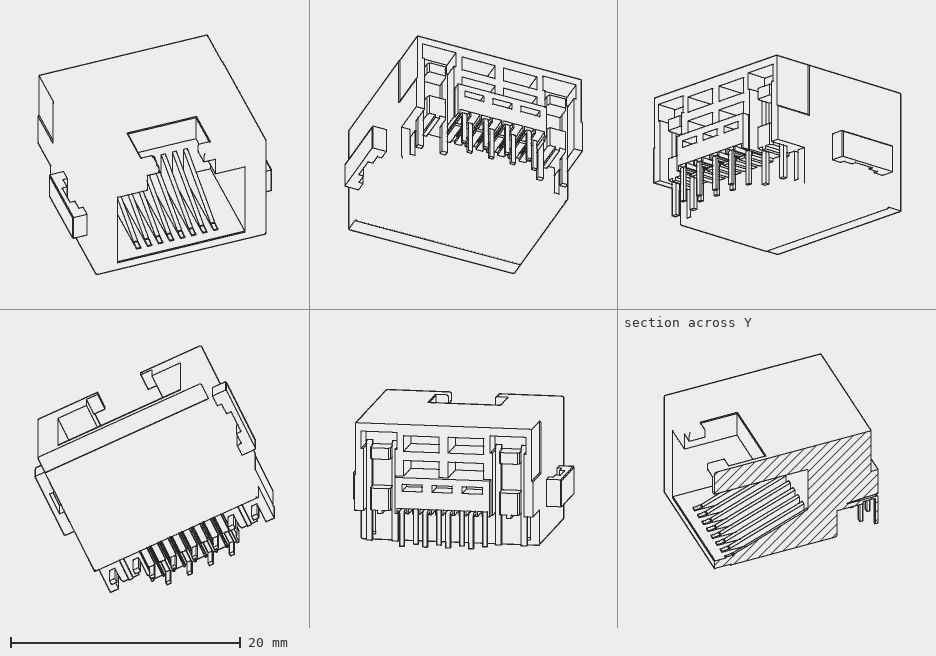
import cadquery as cq


BODY_LENGTH = 14.8
BODY_WIDTH = 15.8
BODY_HEIGHT = 11.0
EDGE_RADIUS = 0.2
STEP_LENGTH = 3.2
STEP_HEIGHT = 3.2
RELIEF_START = 13.25
RELIEF_DEPTH = 0.1
SIDE_RECESS_LENGTH = 3.8
SIDE_RECESS_BOTTOM = 6.3
SIDE_RECESS_DEPTH = 0.1
OVERCUT = 1.0

BRACKET_START = 6.5
BRACKET_LENGTH = 6.0
BRACKET_REACH = 1.325
BRACKET_BOTTOM = 2.85
BRACKET_HEIGHT = 2.4
BRACKET_CHAMFER = 0.08
BRACKET_WIDE_GAP = (4.0, 0.4)
BRACKET_NARROW_GAP = (2.0, 0.85)

CAVITY_BACK = 6.0
CAVITY_WIDTH = 11.8
CAVITY_FLOOR = 1.0
CAVITY_TOP = 8.5
FLOOR_CHAMFER = 0.07
LATCH_BACK = 9.85
LATCH_WIDTH = 6.3
LATCH_CHAMFER = 0.07
LATCH_NECK_BACK = 13.3
LATCH_NECK_WIDTH = 4.16
LATCH_LIP_THICKNESS = 0.8

CONTACT_COUNT = 8
CONTACT_PITCH = 1.02
CONTACT_WIDTH = 0.38
CONTACT_FRONT = 12.95
CONTACT_THICKNESS = 0.2
CONTACT_BACK_HEIGHT = 4.0
CONTACT_TIP_BACK = 13.05
CONTACT_TIP_FRONT = 13.75

WINDOW_INNER_Y = 0.4
WINDOW_OUTER_Y = 3.55
WINDOW_DEPTH = 3.5
UPPER_WINDOW_Z = (8.6, 10.0)
LOWER_WINDOW_TOP = 7.8

BOSS_WIDTH = 8.4
BOSS_REACH = 0.65
BOSS_TOP = 6.4
BOSS_SLOT_WIDTH = 1.78
BOSS_SLOT_PITCH = 2.66
BOSS_SLOT_Z = (5.2, 5.8)
BOSS_SLOT_DEPTH = 2.0
NOTCH_WIDTH = 0.88
NOTCH_FRONT_TOP = 3.65
NOTCH_BACK_TOP = 3.45
NOTCH_END = 2.5
RIB_WIDTH = 0.64
RIB_START = 0.73
RIB_DEPTH = 0.27

LEAD_BOTTOM = 0.3
SIGNAL_LEAD_WIDTH = 0.4
SIGNAL_LEAD_THICKNESS = 0.28
SIGNAL_BEND_TOP = 3.45
SIGNAL_BEND_RADIUS = 0.2
SIGNAL_LEAD_END = 2.75
REAR_ROW_X = -BOSS_REACH
FRONT_ROW_X = 0.45

LAMP_Y = 5.71
LAMP_POCKET_WIDTH = 3.16
LAMP_POCKET_Z = (8.74, 10.27)
LAMP_POCKET_END = 3.0
LAMP_GAP = 0.08
LAMP_FACE = 1.85
LAMP_CHANNEL_WIDTH = 2.78
LAMP_LEAD_WIDTH = 0.51
LAMP_LEAD_THICKNESS = 0.4
LAMP_LEAD_TOP = 9.17
LAMP_BEND_RADIUS = 0.39
SPACER_WIDTH = LAMP_CHANNEL_WIDTH - 2 * LAMP_LEAD_WIDTH
SPACER_FRONT = 0.4
SPACER_CHAMFER_X = 0.3
SPACER_CHAMFER_Y = 0.14
UPPER_SPACER_Z = (7.75, 8.74)
LOWER_SPACER_Z = (STEP_HEIGHT, 5.15)
SPACER_TAB_WIDTH = 0.4
LEAD_SLOT_Y = 6.85
LEAD_SLOT_WIDTH = 0.46
LEAD_SLOT_BOTTOM = 0.5
LEAD_SLOT_DEPTH = 1.0

SIDES = (-1, 1)


def box(x_range, y_center, width, z_range):
    """Block given by its X range, its centre and width in Y, and its Z range."""
    length = x_range[1] - x_range[0]
    height = z_range[1] - z_range[0]
    corner = (x_range[0], y_center - width / 2, z_range[0])
    return cq.Workplane("XY").box(length, width, height, centered=False).translate(corner)


def side_prism(points, y_center, width):
    """Extrude an outline in X and Z by a width centred on y_center."""
    outline = cq.Workplane("XZ", origin=(0, y_center, 0)).polyline(points).close()
    return outline.extrude(width / 2, both=True)


def row_positions():
    """Y of every contact, from -Y to +Y."""
    return [(i - (CONTACT_COUNT - 1) / 2) * CONTACT_PITCH for i in range(CONTACT_COUNT)]


def make_housing():
    housing = box((0, BODY_LENGTH), 0, BODY_WIDTH, (0, BODY_HEIGHT))
    step = box((-OVERCUT, STEP_LENGTH), 0, BODY_WIDTH + OVERCUT, (-OVERCUT, STEP_HEIGHT))
    housing = housing.cut(step)
    housing = housing.faces("<Z or >Z or >X").edges("not <X").fillet(EDGE_RADIUS)
    relief = box((RELIEF_START, BODY_LENGTH + OVERCUT), 0, BODY_WIDTH, (-OVERCUT, RELIEF_DEPTH))
    return housing.cut(relief)


def make_side_recess():
    """Recess at the back of the -Y wall, with sloped front and bottom edges."""
    length = SIDE_RECESS_LENGTH + OVERCUT
    height = BODY_HEIGHT + OVERCUT - SIDE_RECESS_BOTTOM
    plane = cq.Workplane("XZ", origin=(-OVERCUT, -BODY_WIDTH / 2, SIDE_RECESS_BOTTOM))
    return plane.rect(length, height, centered=False).extrude(-SIDE_RECESS_DEPTH, taper=45)


def make_bracket():
    """Bracket on the +Y wall, bridging a stepped gap."""
    wall = BODY_WIDTH / 2
    middle = BRACKET_START + BRACKET_LENGTH / 2
    z_range = (BRACKET_BOTTOM, BRACKET_BOTTOM + BRACKET_HEIGHT)
    x_range = (BRACKET_START, BRACKET_START + BRACKET_LENGTH)
    bracket = box(x_range, wall + BRACKET_REACH / 2, BRACKET_REACH, z_range)
    bracket = bracket.faces(">Y").edges("not <Z").chamfer(BRACKET_CHAMFER)
    for length, depth in (BRACKET_WIDE_GAP, BRACKET_NARROW_GAP):
        gap_range = (middle - length / 2, middle + length / 2)
        bracket = bracket.cut(box(gap_range, wall + depth / 2, depth, z_range))
    return bracket


def make_plug_cavity():
    mouth = BODY_LENGTH + OVERCUT
    lowered_floor = CAVITY_FLOOR - FLOOR_CHAMFER
    outline = [
        (CAVITY_BACK, CAVITY_FLOOR),
        (BODY_LENGTH - FLOOR_CHAMFER, CAVITY_FLOOR),
        (BODY_LENGTH, lowered_floor),
        (mouth, lowered_floor),
        (mouth, CAVITY_TOP),
        (CAVITY_BACK, CAVITY_TOP),
    ]
    return side_prism(outline, 0, CAVITY_WIDTH)


def cut_latch_slot(housing):
    """Open the roof for the plug latch, leaving a lip on both sides of a narrower neck."""
    mouth = BODY_LENGTH + OVERCUT
    lip_bottom = BODY_HEIGHT - LATCH_LIP_THICKNESS
    above = BODY_HEIGHT + OVERCUT
    housing = housing.cut(box((LATCH_BACK, LATCH_NECK_BACK), 0, LATCH_WIDTH, (CAVITY_TOP, above)))
    housing = housing.cut(box((LATCH_BACK, mouth), 0, LATCH_WIDTH, (CAVITY_TOP, lip_bottom)))
    housing = housing.cut(box((LATCH_NECK_BACK, mouth), 0, LATCH_NECK_WIDTH, (CAVITY_TOP, above)))
    rim = cq.selectors.BoxSelector(
        (LATCH_BACK - LATCH_CHAMFER, -LATCH_WIDTH, BODY_HEIGHT - LATCH_CHAMFER),
        (LATCH_NECK_BACK - LATCH_CHAMFER, LATCH_WIDTH, BODY_HEIGHT + LATCH_CHAMFER),
    )
    housing = housing.edges(rim).chamfer(LATCH_CHAMFER)
    for side in SIDES:
        edge_y = side * LATCH_NECK_WIDTH / 2
        inner_y = edge_y + side * EDGE_RADIUS
        bottom = BODY_HEIGHT - EDGE_RADIUS
        corner = box((LATCH_NECK_BACK, mouth), (edge_y + inner_y) / 2, EDGE_RADIUS, (bottom, above))
        rounding = cq.Workplane("YZ", origin=(LATCH_NECK_BACK, inner_y, bottom)).circle(EDGE_RADIUS)
        housing = housing.cut(corner.cut(rounding.extrude(mouth - LATCH_NECK_BACK)))
    return housing


def make_contact(y):
    """Spring contact rising from the cavity floor to the back wall, plus its tip."""
    slope = [
        (CONTACT_FRONT, CAVITY_FLOOR),
        (CONTACT_FRONT, CAVITY_FLOOR + CONTACT_THICKNESS),
        (CAVITY_BACK, CONTACT_BACK_HEIGHT),
        (CAVITY_BACK, CAVITY_FLOOR),
    ]
    tip = [
        (CONTACT_TIP_BACK, CAVITY_FLOOR),
        (CONTACT_TIP_BACK, CAVITY_FLOOR + CONTACT_THICKNESS),
        ((CONTACT_TIP_BACK + CONTACT_TIP_FRONT) / 2, CAVITY_FLOOR + CONTACT_THICKNESS / 2),
        (CONTACT_TIP_FRONT, CAVITY_FLOOR + CONTACT_THICKNESS / 2),
        (CONTACT_TIP_FRONT, CAVITY_FLOOR),
    ]
    return side_prism(slope, y, CONTACT_WIDTH).union(side_prism(tip, y, CONTACT_WIDTH))


def cut_windows(housing):
    width = WINDOW_OUTER_Y - WINDOW_INNER_Y
    middle = (WINDOW_OUTER_Y + WINDOW_INNER_Y) / 2
    for side in SIDES:
        for z_range in (UPPER_WINDOW_Z, (BOSS_TOP, LOWER_WINDOW_TOP)):
            housing = housing.cut(box((0, WINDOW_DEPTH), side * middle, width, z_range))
    return housing


def add_boss(housing):
    """Boss with three blind slots, and a sloped notch and a rib for every signal lead."""
    housing = housing.union(box((-BOSS_REACH, 0), 0, BOSS_WIDTH, (STEP_HEIGHT, BOSS_TOP)))
    for slot in (-1, 0, 1):
        x_range = (-BOSS_REACH, BOSS_SLOT_DEPTH - BOSS_REACH)
        housing = housing.cut(box(x_range, slot * BOSS_SLOT_PITCH, BOSS_SLOT_WIDTH, BOSS_SLOT_Z))
    notch = [
        (-BOSS_REACH, STEP_HEIGHT),
        (-BOSS_REACH, NOTCH_FRONT_TOP),
        (NOTCH_END, NOTCH_BACK_TOP),
        (NOTCH_END, STEP_HEIGHT),
    ]
    for y in row_positions():
        housing = housing.cut(side_prism(notch, y, NOTCH_WIDTH))
        rib_z = (STEP_HEIGHT - RIB_DEPTH, STEP_HEIGHT)
        housing = housing.union(box((RIB_START, STEP_LENGTH), y, RIB_WIDTH, rib_z))
    return housing


def make_signal_lead(x, y):
    """Lead that runs back from the body and bends down at x."""
    down = box((x, x + SIGNAL_LEAD_THICKNESS), y, SIGNAL_LEAD_WIDTH, (LEAD_BOTTOM, SIGNAL_BEND_TOP))
    run_z = (SIGNAL_BEND_TOP - SIGNAL_LEAD_THICKNESS, SIGNAL_BEND_TOP)
    lead = down.union(box((x, SIGNAL_LEAD_END), y, SIGNAL_LEAD_WIDTH, run_z))
    return lead.edges("|Y and <X and >Z").fillet(SIGNAL_BEND_RADIUS)


def make_spacer(y, z_range):
    """Block between the two leads of a lamp, narrowed toward the back of the part."""
    shoulder = SPACER_WIDTH / 2
    nose = shoulder - SPACER_CHAMFER_Y
    outline = [
        (LAMP_FACE, y - shoulder),
        (SPACER_FRONT + SPACER_CHAMFER_X, y - shoulder),
        (SPACER_FRONT, y - nose),
        (SPACER_FRONT, y + nose),
        (SPACER_FRONT + SPACER_CHAMFER_X, y + shoulder),
        (LAMP_FACE, y + shoulder),
    ]
    plane = cq.Workplane("XY", origin=(0, 0, z_range[0]))
    return plane.polyline(outline).close().extrude(z_range[1] - z_range[0])


def make_lamp_lead(y):
    x_range = (LAMP_FACE - LAMP_LEAD_THICKNESS, LAMP_FACE)
    lead = box(x_range, y, LAMP_LEAD_WIDTH, (LEAD_BOTTOM, LAMP_LEAD_TOP))
    return lead.edges("|Y and <X and >Z").fillet(LAMP_BEND_RADIUS)


def add_lamp(housing, side):
    """Pocket and lead channel in one back corner, with the lamp, its leads and spacers."""
    y = side * LAMP_Y
    pocket_bottom, pocket_top = LAMP_POCKET_Z
    lamp_z = (pocket_bottom + LAMP_GAP, pocket_top - LAMP_GAP)
    lamp_width = LAMP_POCKET_WIDTH - 2 * LAMP_GAP
    housing = housing.cut(box((0, LAMP_POCKET_END), y, LAMP_POCKET_WIDTH, LAMP_POCKET_Z))
    housing = housing.cut(box((0, LAMP_FACE), y, LAMP_CHANNEL_WIDTH, (STEP_HEIGHT, pocket_bottom)))
    slot_x = (STEP_LENGTH, STEP_LENGTH + LEAD_SLOT_DEPTH)
    slot_z = (LEAD_SLOT_BOTTOM, STEP_HEIGHT)
    housing = housing.cut(box(slot_x, side * LEAD_SLOT_Y, LEAD_SLOT_WIDTH, slot_z))

    housing = housing.union(box((LAMP_FACE, LAMP_POCKET_END), y, lamp_width, lamp_z))
    for z_range in (UPPER_SPACER_Z, LOWER_SPACER_Z):
        housing = housing.union(make_spacer(y, z_range))
    tab_z = (STEP_HEIGHT - RIB_DEPTH, STEP_HEIGHT)
    housing = housing.union(box((SPACER_FRONT, STEP_LENGTH), y, SPACER_TAB_WIDTH, tab_z))
    lead_offset = (LAMP_CHANNEL_WIDTH - LAMP_LEAD_WIDTH) / 2
    for lead_side in SIDES:
        housing = housing.union(make_lamp_lead(y + lead_side * lead_offset))
    return housing


part = make_housing()
side_recess = make_side_recess()
part = part.cut(side_recess).cut(side_recess.mirror("XZ"))
bracket = make_bracket()
part = part.union(bracket).union(bracket.mirror("XZ"))

part = part.cut(make_plug_cavity())
part = cut_latch_slot(part)
for contact_y in row_positions():
    part = part.union(make_contact(contact_y))

part = add_boss(part)
part = cut_windows(part)
for index, lead_y in enumerate(row_positions()):
    row_x = REAR_ROW_X if index % 2 else FRONT_ROW_X
    part = part.union(make_signal_lead(row_x, lead_y))
for lamp_side in SIDES:
    part = add_lamp(part, lamp_side)

result = part